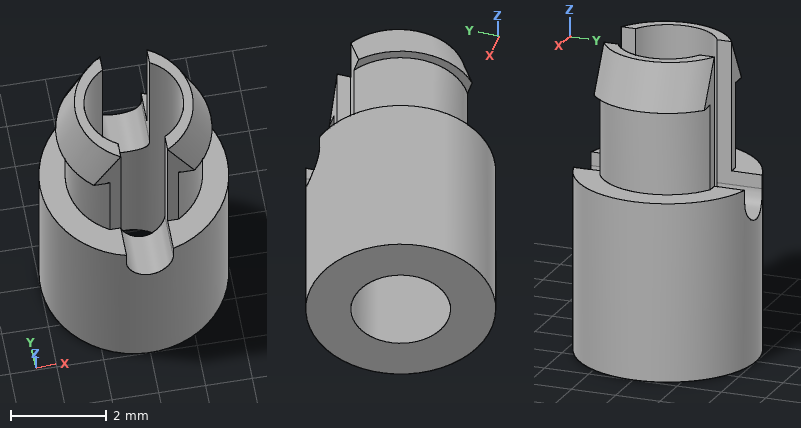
import cadquery as cq
import math

body_height = 4.0
neck_top = 5.9
total_height = 6.9

body_diameter = 4.0
neck_diameter = 2.9
bore_diameter = 2.1

head_base_width = 3.3
head_tip_width = 2.5

flat_width = 2.5
slot_width = 1.0
slot_bottom = 3.195


def make_body():
    return cq.Workplane("XY").circle(body_diameter / 2).extrude(body_height)


def make_neck():
    """Round neck trimmed by two flats facing +Y and -Y."""
    neck = cq.Workplane("XY").circle(neck_diameter / 2).extrude(neck_top)
    flats = cq.Workplane("XY").rect(neck_diameter, flat_width).extrude(neck_top)
    return neck.intersect(flats)


def draw_head_section(plane, flat_half_length, width):
    """Two straight flats joined by an arc bulging out to the full width at each end."""
    half_flat = flat_width / 2
    return (
        plane.moveTo(-flat_half_length, -half_flat)
        .lineTo(flat_half_length, -half_flat)
        .threePointArc((width / 2, 0), (flat_half_length, half_flat))
        .lineTo(-flat_half_length, half_flat)
        .threePointArc((-width / 2, 0), (-flat_half_length, -half_flat))
        .close()
    )


def make_head():
    """Catch head tapering from a flatted circle to arcs that start at the slot edges."""
    base_flat = math.sqrt((head_base_width / 2) ** 2 - (flat_width / 2) ** 2)
    base = draw_head_section(cq.Workplane("XY", origin=(0, 0, neck_top)), base_flat, head_base_width)
    tip_plane = base.workplane(offset=total_height - neck_top)
    return draw_head_section(tip_plane, slot_width / 2, head_tip_width).loft(ruled=True)


def make_slot():
    """Round-bottomed slot running through the part along Y."""
    radius = slot_width / 2
    return (
        cq.Workplane("XZ")
        .moveTo(-radius, total_height)
        .lineTo(-radius, slot_bottom + radius)
        .threePointArc((0, slot_bottom), (radius, slot_bottom + radius))
        .lineTo(radius, total_height)
        .close()
        .extrude(body_diameter / 2, both=True)
    )


bore = cq.Workplane("XY").circle(bore_diameter / 2).extrude(total_height)

result = make_body().union(make_neck()).union(make_head()).cut(bore).cut(make_slot())